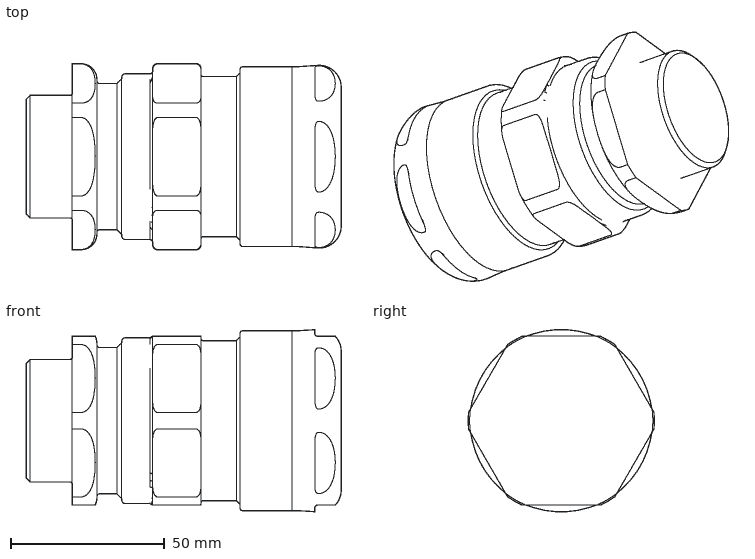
import cadquery as cq
import math

STUB_START = 0
FLANGE_FRONT = 15.0
FLANGE_BACK = 23.1
NECK_END = 29.5
COLLAR_FRONT = 31.0
HEX_FRONT = 41.1
HEX_BACK = 56.9
BARREL_END = 68.3
SLEEVE_FRONT = 69.5
CAP_FRONT = 86.4
CAP_FLARE_START = 88.5
FLATS_START = 93.9
CAP_BACK = 102.5

ACROSS_FLATS = 54.9
ACROSS_CORNERS = 60.6

STUB_DIAMETER = 40
NECK_DIAMETER = 47.6
COLLAR_DIAMETER = 54.0
BARREL_DIAMETER = 52.2
SLEEVE_DIAMETER = 58.6
CAP_DIAMETER = 59.5

STUB_CHAMFER = 1.3
STUB_FILLET = 0.6
FLANGE_ROUND = 5.2
NECK_FILLET = 0.8
COLLAR_ROUND = 1.2
COLLAR_FILLET = 0.8
HEX_ROUND = 1.6
BARREL_FILLET = 0.6
SLEEVE_ROUND = 1.0
CAP_ROUND = 7.3
FLAT_FILLET = 0.9
FLAT_COUNT = 6


def start_profile(x):
    """Open a half profile, X along the axis and Y as the radius, on the axis at x."""
    return cq.Workplane("XY").moveTo(x, 0)


def quarter_round(profile, centre, start_angle, end_angle, radius):
    """Add a 90 degree arc to a profile, which must already be at the start of the arc."""
    points = []
    for angle in ((start_angle + end_angle) / 2, end_angle):
        x = centre[0] + radius * math.cos(math.radians(angle))
        y = centre[1] + radius * math.sin(math.radians(angle))
        points.append((x, y))
    return profile.threePointArc(*points)


def outer_round(profile, x, corner_radius, radius, rising):
    """Round the convex corner at (x, corner_radius), on the way up a face or down one."""
    y = corner_radius - radius
    if rising:
        profile = profile.lineTo(x, y)
        return quarter_round(profile, (x + radius, y), 180, 90, radius)
    profile = profile.lineTo(x - radius, corner_radius)
    return quarter_round(profile, (x - radius, y), 90, 0, radius)


def root_fillet(profile, x, shaft_radius, radius, rising):
    """Fillet a shaft of shaft_radius into the flat face at x, met before or after the shaft."""
    y = shaft_radius + radius
    if rising:
        profile = profile.lineTo(x - radius, shaft_radius)
        return quarter_round(profile, (x - radius, y), -90, 0, radius)
    profile = profile.lineTo(x, y)
    return quarter_round(profile, (x + radius, y), 180, 270, radius)


def turn(profile, end_x):
    """Drop a half profile to the axis at end_x and revolve it about the X axis."""
    return profile.lineTo(end_x, 0).close().revolve(360, (0, 0, 0), (1, 0, 0))


def hexagon_prism(start_x, end_x):
    corner_circle = ACROSS_FLATS / math.cos(math.radians(30))
    return cq.Workplane("YZ", origin=(start_x, 0, 0)).polygon(6, corner_circle).extrude(end_x - start_x)


def make_entry_body():
    """Stub, hexagon flange and neck, ending in a 45 degree cone against the collar."""
    stub_radius = STUB_DIAMETER / 2
    neck_radius = NECK_DIAMETER / 2
    cone_radius = neck_radius + COLLAR_FRONT - NECK_END

    stub = start_profile(STUB_START).lineTo(STUB_START, stub_radius - STUB_CHAMFER)
    stub = stub.lineTo(STUB_START + STUB_CHAMFER, stub_radius)
    stub = root_fillet(stub, FLANGE_FRONT, stub_radius, STUB_FILLET, rising=True)

    flange = start_profile(FLANGE_FRONT).lineTo(FLANGE_FRONT, ACROSS_CORNERS / 2)
    flange = outer_round(flange, FLANGE_BACK, ACROSS_CORNERS / 2, FLANGE_ROUND, rising=False)
    flange = turn(flange, FLANGE_BACK).intersect(hexagon_prism(FLANGE_FRONT, FLANGE_BACK))

    neck = start_profile(FLANGE_BACK)
    neck = root_fillet(neck, FLANGE_BACK, neck_radius, NECK_FILLET, rising=False)
    neck = neck.lineTo(NECK_END, neck_radius).lineTo(COLLAR_FRONT, cone_radius)

    return turn(stub, FLANGE_FRONT).union(flange).union(turn(neck, COLLAR_FRONT))


def make_middle_body():
    """Round collar, hexagon and barrel, ending in a 45 degree cone against the sleeve."""
    barrel_radius = BARREL_DIAMETER / 2
    cone_radius = barrel_radius + SLEEVE_FRONT - BARREL_END

    collar = start_profile(COLLAR_FRONT)
    collar = outer_round(collar, COLLAR_FRONT, COLLAR_DIAMETER / 2, COLLAR_ROUND, rising=True)
    collar = root_fillet(collar, HEX_FRONT, COLLAR_DIAMETER / 2, COLLAR_FILLET, rising=True)
    collar = turn(collar, HEX_FRONT).intersect(hexagon_prism(COLLAR_FRONT, HEX_FRONT))

    hexagon = start_profile(HEX_FRONT)
    hexagon = outer_round(hexagon, HEX_FRONT, ACROSS_CORNERS / 2, HEX_ROUND, rising=True)
    hexagon = outer_round(hexagon, HEX_BACK, ACROSS_CORNERS / 2, HEX_ROUND, rising=False)
    hexagon = turn(hexagon, HEX_BACK).intersect(hexagon_prism(HEX_FRONT, HEX_BACK))

    barrel = start_profile(HEX_BACK)
    barrel = root_fillet(barrel, HEX_BACK, barrel_radius, BARREL_FILLET, rising=False)
    barrel = barrel.lineTo(BARREL_END, barrel_radius).lineTo(SLEEVE_FRONT, cone_radius)

    return collar.union(hexagon).union(turn(barrel, SLEEVE_FRONT))


def make_sleeve():
    """Plain cylinder with a rounded front edge."""
    sleeve_radius = SLEEVE_DIAMETER / 2
    sleeve = start_profile(SLEEVE_FRONT)
    sleeve = outer_round(sleeve, SLEEVE_FRONT, sleeve_radius, SLEEVE_ROUND, rising=True)
    return turn(sleeve.lineTo(CAP_FRONT, sleeve_radius), CAP_FRONT)


def make_flat_cutter():
    """Block that mills one flat on top of the cap, with a rounded inner edge at its front wall."""
    length = CAP_BACK - FLATS_START
    depth = (CAP_DIAMETER - ACROSS_FLATS) / 2
    cutter = cq.Workplane("XY").box(length, ACROSS_FLATS / 2, depth, centered=(False, True, False))
    cutter = cutter.edges("<X and <Z").fillet(FLAT_FILLET)
    return cutter.translate((FLATS_START, 0, ACROSS_FLATS / 2))


def make_cap():
    """Slightly flared cap with a large back rounding and six milled flats."""
    sleeve_radius = SLEEVE_DIAMETER / 2
    cap_radius = CAP_DIAMETER / 2
    cap = start_profile(CAP_FRONT).lineTo(CAP_FRONT, sleeve_radius).lineTo(CAP_FLARE_START, sleeve_radius)
    cap = outer_round(cap, CAP_BACK, cap_radius, CAP_ROUND, rising=False)
    cap = turn(cap, CAP_BACK)
    cutter = make_flat_cutter()
    for index in range(FLAT_COUNT):
        cap = cap.cut(cutter.rotate((0, 0, 0), (1, 0, 0), index * 360 / FLAT_COUNT))
    return cap


entry_body = make_entry_body()
middle_body = make_middle_body()
sleeve = make_sleeve()
cap = make_cap()

result = cq.Compound.makeCompound([entry_body.val(), middle_body.val(), sleeve.val(), cap.val()])